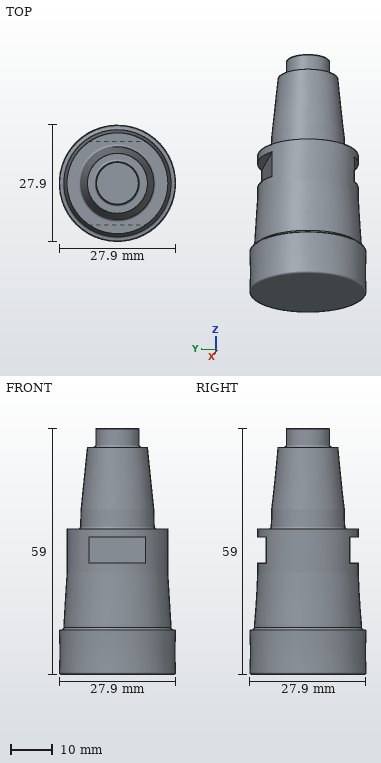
import cadquery as cq
import math

HEIGHT = 59.0
CAP_SHOULDER = 10.6
JOINT = 11.25
BAND_TOP = 11.75
COLLAR_BOTTOM = 24.3
COLLAR_TOP = 34.85
NECK_TOP = 39.55
TAPER_TOP = 54.45

CAP_DIAMETER = 27.9
CAP_RADIUS = CAP_DIAMETER / 2
JOINT_RADIUS = 12.85
COLLAR_RADIUS = 24.2 / 2
NECK_BOTTOM_RADIUS = 8.85
NECK_TOP_RADIUS = 8.75
TAPER_TOP_RADIUS = 7.2
TIP_RADIUS = 10.4 / 2

CAP_ROUND = 0.35
CAP_BOTTOM_ROUND = 0.4
CAP_WAIST_DEPTH = 0.1
CAP_ROOT_FILLET = JOINT - CAP_SHOULDER
SPINDLE_ROOT_FILLET = 0.55
TIP_CHAMFER = 0.2

FLATS_WIDTH = 20.05
FLATS_BOTTOM = 26.65
FLATS_TOP = 32.9

DIAGONAL = math.sqrt(0.5)


def root_fillet(profile, radius, level, fillet):
    """Continue a half outline inward and up around a concave fillet on a shoulder."""
    inset = fillet * (1 - DIAGONAL)
    return profile.lineTo(radius + fillet, level).threePointArc(
        (radius + inset, level + inset), (radius, level + fillet)
    )


def revolve_about_z(profile):
    """Close a half outline and turn it around the Z axis."""
    return profile.close().revolve(360, (0, 0), (0, 1))


def make_cap():
    """Wide, slightly waisted cap with rounded edges and a filleted step on top."""
    bottom_inset = CAP_BOTTOM_ROUND * (1 - DIAGONAL)
    top_inset = CAP_ROUND * (1 - DIAGONAL)
    side_bottom = CAP_BOTTOM_ROUND
    side_top = CAP_SHOULDER - CAP_ROUND
    waist = (CAP_RADIUS - CAP_WAIST_DEPTH, (side_bottom + side_top) / 2)
    profile = (
        cq.Workplane("XZ")
        .lineTo(CAP_RADIUS - CAP_BOTTOM_ROUND, 0)
        .threePointArc((CAP_RADIUS - bottom_inset, bottom_inset), (CAP_RADIUS, side_bottom))
        .threePointArc(waist, (CAP_RADIUS, side_top))
        .threePointArc(
            (CAP_RADIUS - top_inset, CAP_SHOULDER - top_inset), (CAP_RADIUS - CAP_ROUND, CAP_SHOULDER)
        )
    )
    profile = root_fillet(profile, JOINT_RADIUS, CAP_SHOULDER, CAP_ROOT_FILLET)
    return revolve_about_z(profile.lineTo(0, JOINT))


def cut_wrench_flats(body):
    """Cut two opposite flats that leave FLATS_WIDTH across the collar."""
    depth = COLLAR_RADIUS - FLATS_WIDTH / 2
    offset = (FLATS_WIDTH + depth) / 2
    middle = (FLATS_BOTTOM + FLATS_TOP) / 2
    for side in (-1, 1):
        cutter = cq.Workplane("XY").box(2 * COLLAR_RADIUS, depth, FLATS_TOP - FLATS_BOTTOM)
        body = body.cut(cutter.translate((0, side * offset, middle)))
    return body


def make_spindle():
    """Stepped spindle standing on the cap: band, skirt, collar, neck, taper and tip."""
    profile = cq.Workplane("XZ").moveTo(0, JOINT).lineTo(JOINT_RADIUS, JOINT).lineTo(JOINT_RADIUS, BAND_TOP)
    profile = profile.lineTo(COLLAR_RADIUS, COLLAR_BOTTOM).lineTo(COLLAR_RADIUS, COLLAR_TOP)
    profile = root_fillet(profile, NECK_BOTTOM_RADIUS, COLLAR_TOP, SPINDLE_ROOT_FILLET)
    profile = profile.lineTo(NECK_TOP_RADIUS, NECK_TOP).lineTo(TAPER_TOP_RADIUS, TAPER_TOP)
    profile = root_fillet(profile, TIP_RADIUS, TAPER_TOP, SPINDLE_ROOT_FILLET)
    profile = profile.lineTo(TIP_RADIUS, HEIGHT - TIP_CHAMFER).lineTo(TIP_RADIUS - TIP_CHAMFER, HEIGHT)
    return cut_wrench_flats(revolve_about_z(profile.lineTo(0, HEIGHT)))


cap = make_cap()
spindle = make_spindle()
result = cq.Compound.makeCompound([cap.val(), spindle.val()])